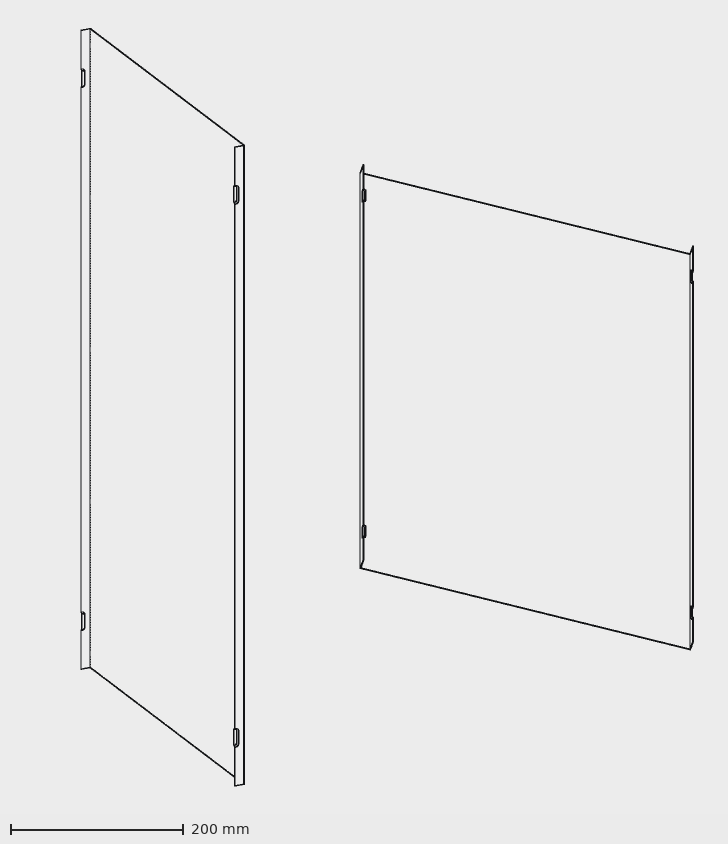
import cadquery as cq

WIDTH = 400.0
DEPTH = 12.5
HEIGHT = 800.0
SHEET = 1.0

DIMPLE_FROM_END = 60.0
DIMPLE_LENGTH = 23.0
DIMPLE_RISE = 5.0
DIMPLE_INSET = 2.5
DIMPLE_CORNER = 4.0
DIMPLE_TAPER = 30.0

HALF_WIDTH = WIDTH / 2
FREE_EDGE_Y = -DEPTH / 2
DIMPLE_Z = HEIGHT / 2 - DIMPLE_FROM_END


def make_panel():
    """U-shaped panel with its flanges pointing toward -Y."""
    outer = cq.Workplane("XY").box(WIDTH, DEPTH, HEIGHT)
    inside = cq.Workplane("XY").box(WIDTH - 2 * SHEET, DEPTH, HEIGHT)
    return outer.cut(inside.translate((0, -SHEET, 0)))


def make_dimple(skin_x, center_z):
    """Tapered pad growing toward +X from skin_x, ending flush with the free edge.

    The pad is drawn symmetric about the free edge and only its +Y half is kept.
    """
    outline = cq.Sketch().rect(2 * DIMPLE_RISE, DIMPLE_LENGTH).vertices().fillet(DIMPLE_CORNER)
    full_pad = (
        cq.Workplane("YZ", origin=(skin_x, FREE_EDGE_Y, center_z))
        .placeSketch(outline)
        .extrude(DIMPLE_INSET, taper=DIMPLE_TAPER)
    )
    kept_side = cq.Workplane("XY").box(WIDTH, DEPTH, HEIGHT)
    return full_pad.intersect(kept_side)


def press_dimples(panel):
    """Form a dimple near both ends of both flanges."""
    for center_z in (-DIMPLE_Z, DIMPLE_Z):
        bulge = make_dimple(-HALF_WIDTH + SHEET, center_z)
        hollow = make_dimple(-HALF_WIDTH, center_z)
        panel = panel.union(bulge).union(bulge.mirror("YZ"))
        panel = panel.cut(hollow).cut(hollow.mirror("YZ"))
    return panel


result = press_dimples(make_panel())